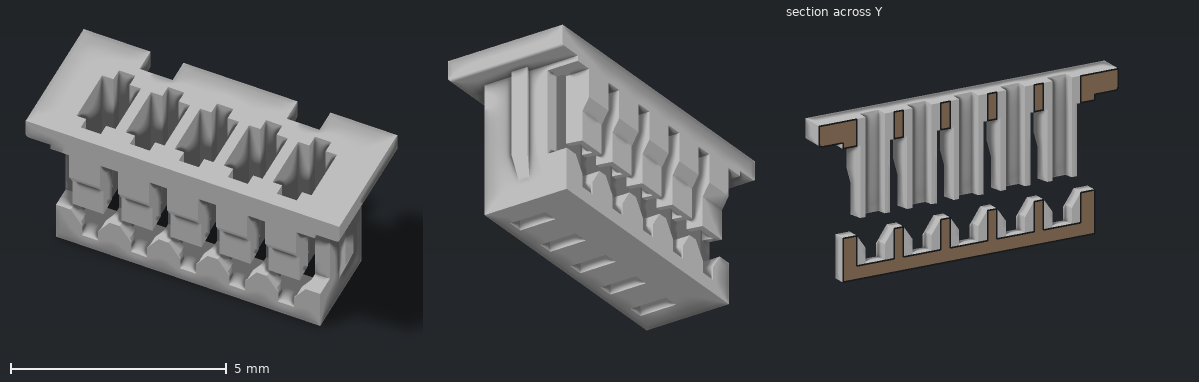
import cadquery as cq

contact_count = 5
pitch = 1.25
contact_xs = [(i - (contact_count - 1) / 2) * pitch for i in range(contact_count)]

flange_length = 8.0
flange_depth = 3.2
total_height = 3.95
flange_thickness = 0.53
flange_bottom = total_height - flange_thickness
flange_back = flange_depth / 2
flange_front = -flange_back
flange_fillet = 0.08

body_length = 6.74
body_back = 1.0
wall_front = -0.755
base_front = -1.29
base_height = 1.085
brow_bottom = 3.28

cavity_width = 0.99
cavity_back = 0.445
cavity_front = -0.96
floor_height = 0.345
slot_width = 0.415
rear_groove_back = 0.755
tail_hole_back = 0.73
tail_hole_front = -0.257
front_groove_width = 0.51
front_groove_front = -1.25
vee_bottom = 0.67

arm_width = 0.8
arm_back = cavity_front
arm_tip_front = -1.41
arm_bevel_top = 2.54
arm_bevel_bottom = 2.22
arm_tip_bottom = 1.45
arm_heel_bottom = 1.5

latch_x = 1.5 * pitch
latch_width = 0.665
latch_reach = 0.29
latch_top = 1.5
latch_bottom = 0.51
notch_width = 0.84

rib_center_y = -0.105
rib_outer_width = 0.435
rib_root_width = 0.295
rib_reach = 0.195
rib_bevel_top = 1.21
rib_bottom = 0.6


def box(x_center, width, y_front, y_back, z_bottom, z_top):
    """Block centred on x_center and spanning the given Y and Z limits."""
    depth = y_back - y_front
    height = z_top - z_bottom
    block = cq.Workplane("XY").box(width, depth, height, centered=(True, False, False))
    return block.translate((x_center, y_front, z_bottom))


def extrude_along_x(x_center, width, yz_points):
    """YZ outline extruded symmetrically about x_center."""
    prism = cq.Workplane("YZ").polyline(yz_points).close().extrude(width / 2, both=True)
    return prism.translate((x_center, 0, 0))


def make_flange():
    """Top plate rounded along its lower end and back edges, with two notches above the latches."""
    flange = box(0, flange_length, flange_front, flange_back, flange_bottom, total_height)
    flange = flange.edges("(<X and <Z) or (>X and <Z) or (>Y and <Z)").fillet(flange_fillet)
    for side in (-1, 1):
        notch = box(side * latch_x, notch_width, body_back, flange_back, flange_bottom, total_height)
        flange = flange.cut(notch)
    return flange


def make_body():
    """Upright block with a forward base step and a brow under the flange."""
    return extrude_along_x(0, body_length, [
        (body_back, 0),
        (body_back, flange_bottom),
        (flange_front, flange_bottom),
        (flange_front, brow_bottom),
        (wall_front, brow_bottom),
        (wall_front, base_height),
        (base_front, base_height),
        (base_front, 0),
    ])


def make_arm(x):
    """Cantilever arm hanging from the brow."""
    return extrude_along_x(x, arm_width, [
        (arm_back, brow_bottom),
        (flange_front, brow_bottom),
        (flange_front, arm_bevel_top),
        (arm_tip_front, arm_bevel_bottom),
        (arm_tip_front, arm_tip_bottom),
        (arm_back, arm_heel_bottom),
    ])


def make_latch(x):
    """Wedge on the back wall, flat on top and tapering downward."""
    return extrude_along_x(x, latch_width, [
        (body_back, latch_bottom),
        (body_back, latch_top),
        (body_back + latch_reach, latch_top),
    ])


def make_rib(side):
    """Dovetail rib on one end, sloping back into the body at its lower end."""
    root_x = side * body_length / 2
    outer_x = root_x + side * rib_reach
    plan = [
        (root_x, rib_center_y - rib_root_width / 2),
        (outer_x, rib_center_y - rib_outer_width / 2),
        (outer_x, rib_center_y + rib_outer_width / 2),
        (root_x, rib_center_y + rib_root_width / 2),
    ]
    rib = cq.Workplane("XY").polyline(plan).close().extrude(flange_bottom - rib_bottom)
    rib = rib.translate((0, 0, rib_bottom))
    below_slope = [(root_x, rib_bottom), (outer_x, rib_bottom), (outer_x, rib_bevel_top)]
    trim = cq.Workplane("XZ").polyline(below_slope).close().extrude(flange_depth, both=True)
    return rib.cut(trim)


def make_cavity(x):
    """All the space removed for one contact."""
    chamber = box(x, cavity_width, cavity_front, cavity_back, floor_height, total_height)
    rear_groove = box(x, slot_width, cavity_back, rear_groove_back, floor_height, total_height)
    tail_hole = box(x, slot_width, tail_hole_front, tail_hole_back, 0, floor_height)
    front_groove = box(x, front_groove_width, front_groove_front, cavity_front, floor_height, total_height)
    front_slot = box(x, slot_width, base_front, cavity_front, floor_height, base_height)
    vee_outline = [
        (x - cavity_width / 2, base_height),
        (x - slot_width / 2, vee_bottom),
        (x + slot_width / 2, vee_bottom),
        (x + cavity_width / 2, base_height),
    ]
    vee = cq.Workplane("XZ").polyline(vee_outline).close().extrude(cavity_front - base_front)
    vee = vee.translate((0, cavity_front, 0))
    cavity = chamber
    for space in (rear_groove, tail_hole, front_groove, front_slot, vee):
        cavity = cavity.union(space)
    return cavity


result = make_flange().union(make_body())
for contact_x in contact_xs:
    result = result.union(make_arm(contact_x))
for contact_x in contact_xs:
    result = result.cut(make_cavity(contact_x))
for side in (-1, 1):
    result = result.union(make_latch(side * latch_x)).union(make_rib(side))